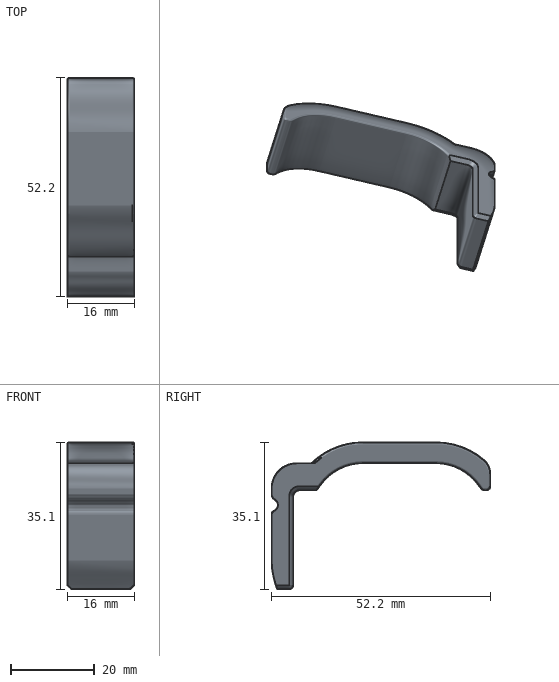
import cadquery as cq
import math

width = 16.0
length = 52.2
height = 35.07

arm_thickness = 5.0
crown_start = 21.8
crown_end = 39.25
outer_arc_radius = 17.5
inner_arc_radius = outer_arc_radius - arm_thickness
arc_center_z = height - outer_arc_radius
inner_arc_sweep = 54.0
arm_edge_round = 0.5

underside_z = 23.6
tip_knuckle_radius = 4.3
tip_round = 1.0

shoulder_drop = 5.0
shoulder_z = height - shoulder_drop
shoulder_radius = 6.0
leg_thickness = 5.2
inner_corner_radius = 1.5
leg_chamfer = 1.0
apex_margin = 0.01
foot_round = leg_chamfer + apex_margin
taper_height = 6.9
taper_radius = 18.0

groove_z = 20.08
groove_radius = 1.5
groove_upper_lip_radius = 1.5
groove_lower_lip_radius = 1.0

TOLERANCE = 0.01


def arc_point(center_y, radius, angle):
    """Point on an arm arc; the angle is measured from straight up, positive toward +Y."""
    turn = math.radians(angle)
    return (center_y + radius * math.sin(turn), arc_center_z + radius * math.cos(turn))


def tangent_end(center_y, side):
    """Where the straight run after an inner arc meets the underside; side is +1 toward +Y."""
    y, z = arc_point(center_y, inner_arc_radius, side * inner_arc_sweep)
    run = (z - underside_z) / math.tan(math.radians(inner_arc_sweep))
    return (y + side * run, underside_z)


def make_profile():
    """Extruded side outline, with every corner still sharp."""
    tip_angle = math.degrees(math.asin((length - crown_end) / outer_arc_radius))
    shoulder_angle = math.degrees(math.acos((shoulder_z - arc_center_z) / outer_arc_radius))
    taper_angle = math.asin(taper_height / taper_radius)

    def taper_point(angle):
        """Point on the foot taper, swept down from where it leaves the outer leg face."""
        return (
            taper_radius * (1 - math.cos(angle)),
            taper_height - taper_radius * math.sin(angle),
        )

    return (
        cq.Workplane("YZ")
        .moveTo(*taper_point(taper_angle))
        .threePointArc(taper_point(taper_angle / 2), (0, taper_height))
        .lineTo(0, shoulder_z)
        .lineTo(*arc_point(crown_start, outer_arc_radius, -shoulder_angle))
        .threePointArc(
            arc_point(crown_start, outer_arc_radius, -shoulder_angle / 2),
            (crown_start, height),
        )
        .lineTo(crown_end, height)
        .threePointArc(
            arc_point(crown_end, outer_arc_radius, tip_angle / 2),
            arc_point(crown_end, outer_arc_radius, tip_angle),
        )
        .lineTo(length, underside_z)
        .lineTo(*tangent_end(crown_end, 1))
        .lineTo(*arc_point(crown_end, inner_arc_radius, inner_arc_sweep))
        .threePointArc(
            arc_point(crown_end, inner_arc_radius, inner_arc_sweep / 2),
            (crown_end, height - arm_thickness),
        )
        .lineTo(crown_start, height - arm_thickness)
        .threePointArc(
            arc_point(crown_start, inner_arc_radius, -inner_arc_sweep / 2),
            arc_point(crown_start, inner_arc_radius, -inner_arc_sweep),
        )
        .lineTo(*tangent_end(crown_start, -1))
        .lineTo(leg_thickness, underside_z)
        .lineTo(leg_thickness, 0)
        .close()
        .extrude(width / 2, both=True)
    )


def round_corner(body, y, z, radius):
    """Fillet the edge that runs along X through (y, z)."""
    corner = cq.selectors.BoxSelector(
        (-TOLERANCE, y - TOLERANCE, z - TOLERANCE),
        (TOLERANCE, y + TOLERANCE, z + TOLERANCE),
    )
    return body.edges("|X").edges(corner).fillet(radius)


def round_corners(body):
    """Fillet the corners of the side outline."""
    knuckle_reach = length - crown_end
    knuckle_z = arc_center_z + math.sqrt(outer_arc_radius**2 - knuckle_reach**2)
    tip_inner_y = tangent_end(crown_end, 1)[0]
    corners = [
        (length, knuckle_z, tip_knuckle_radius),
        (length, underside_z, tip_round),
        (tip_inner_y, underside_z, tip_round),
        (0, shoulder_z, shoulder_radius),
        (leg_thickness, underside_z, inner_corner_radius),
        (leg_thickness, 0, foot_round),
    ]
    for y, z, radius in corners:
        body = round_corner(body, y, z, radius)
    return body


def cut_groove(body):
    """Cut a half-round groove centred on the leg face and blend both of its lips."""
    groove = (
        cq.Workplane("YZ")
        .center(0, groove_z)
        .circle(groove_radius)
        .extrude(width / 2, both=True)
    )
    body = body.cut(groove)
    body = round_corner(body, 0, groove_z + groove_radius, groove_upper_lip_radius)
    return round_corner(body, 0, groove_z - groove_radius, groove_lower_lip_radius)


def side_edges(body, wanted):
    """Edges of both side faces whose midpoint (y, z) satisfies the given test."""
    picked = []
    for edge in body.faces("<X or >X").edges().vals():
        middle = edge.positionAt(0.5)
        if wanted(middle.y, middle.z):
            picked.append(edge)
    return body.newObject(picked)


def on_leg_inside(y, z):
    """True along the shoulder underside, the inner leg face and the foot."""
    arm_root_y = tangent_end(crown_start, -1)[0]
    on_underside = leg_thickness - inner_corner_radius < y < arm_root_y and z < underside_z + TOLERANCE
    on_foot = y < leg_thickness and z < foot_round
    return on_underside or on_foot


def on_arm(y, z):
    """True along the arm outline, above and below, up to where it meets the shoulder."""
    arm_root_y = tangent_end(crown_start, -1)[0]
    on_shoulder_top = y < crown_start and abs(z - shoulder_z) < TOLERANCE
    return y > arm_root_y and not on_shoulder_top


def chamfer_leg(body):
    """Chamfer both inner side edges of the shoulder, leg and foot."""
    return side_edges(body, on_leg_inside).chamfer(leg_chamfer)


def round_arm(body):
    """Fillet both side edges of the arm."""
    return side_edges(body, on_arm).fillet(arm_edge_round)


result = round_arm(chamfer_leg(cut_groove(round_corners(make_profile()))))